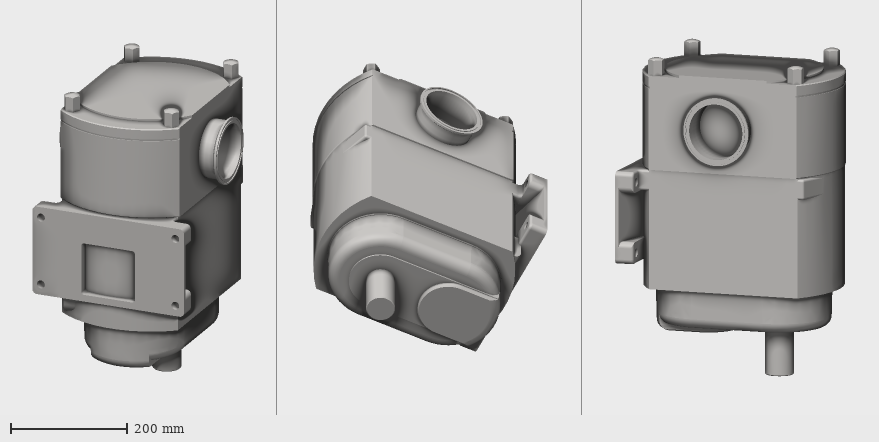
import cadquery as cq
import math


PAD_Z = 73.5
STEP_Z = 82.5
COVER_Z = 85.5
RIM_Z = 151.0
HOUSING_Z = 154.5
HEAD_Z = 363.5
GASKET_Z = 505.5
LID_Z = 527.5
LID_TOP_Z = 532.0
NUT_TOP_Z = 557.5

HEAD_RADIUS = 175.0
HEAD_WIDTH = 223.0
HEAD_CHAMFER = 1.5
GASKET_HEIGHT = 3.5
LID_RAISED_RADIUS = 137.0

NUT_X = 93.0
NUT_Y = 127.0
NUT_FLATS = 25.0
NUT_DOME = 4.5

PORT_Z = 443.0
PORT_SPAN = 294.0
PORT_END_X = PORT_SPAN / 2
TUBE_DIAMETER = 103.5
BORE_DIAMETER = 97.0
FLANGE_DIAMETER = 118.0
FLANGE_THICKNESS = 4.0
FLANGE_CONE = 5.0
GROOVE_INNER_DIAMETER = 106.0
GROOVE_OUTER_DIAMETER = 112.5
GROOVE_DEPTH = 1.5
BORE_DEPTH = 56.0

HOUSING_RADIUS = 173.5
HOUSING_WIDTH = 217.5
EAR_HALF_WIDTH = HOUSING_WIDTH / 2
EAR_CORNER_Y = 146.0
EAR_Z = 326.0
EAR_FILLET = 4.5
EDGE_REACH = 4.5

PLATE_WIDTH = 285.0
PLATE_FRONT_Y = -185.0
PLATE_BACK_Y = -152.0
PLATE_TOP_Z = 362.5
PLATE_BOTTOM_Z = 201.0
PLATE_CORNER = 8.5
INSIDE_FILLET = 6.5
PLATE_HOLE_DIAMETER = 14.5
PLATE_HOLE_SPACING_X = 252.5
PLATE_HOLE_LOW_Z = 220.0
PLATE_HOLE_HIGH_Z = 343.5
WINDOW_WIDTH = 100.5
WINDOW_LOW_Z = 213.5
WINDOW_HIGH_Z = 308.0
WINDOW_CORNER = 5.0

RECESS_LOW_Z = 239.5
RECESS_HIGH_Z = 325.5
RECESS_EDGE_THICKNESS = 6.5
RECESS_INNER_X = 70.0
RECESS_EDGE_FILLET = 10.0

SIDE_BOSS_LEFT = -96.5
SIDE_BOSS_RIGHT = -72.0
SIDE_BOSS_FRONT_Y = -156.5
SIDE_BOSS_LOW_Z = 163.0
SIDE_BOSS_HIGH_Z = 221.0
SIDE_BOSS_ROUND = 15.5

COVER_CENTRE_Y = 64.5
COVER_RADIUS = 91.0
COVER_DRAFT = 1.5
COVER_FILLET = 18.0
RIM_OVERHANG = 1.0
PAD_RADIUS = 53.0
PAD_ROUND = 17.0
PAD_CHAMFER = 2.0
STEP_RADIUS = 54.5
SHAFT_DIAMETER = 50.0
SHAFT_CHAMFER = 1.5


def box(x_min, x_max, y_min, y_max, z_min, z_max):
    size = (x_max - x_min, y_max - y_min, z_max - z_min)
    return cq.Workplane("XY").box(*size, centered=False).translate((x_min, y_min, z_min))


def disc(radius, z_min, z_max, centre_y=0):
    return cq.Workplane("XY", origin=(0, centre_y, z_min)).circle(radius).extrude(z_max - z_min)


def trim_sides(drum, width):
    """Cut a drum down to two flat sides facing -X and +X."""
    reach = 2 * HEAD_RADIUS
    return drum.intersect(box(-width / 2, width / 2, -reach, reach, 0, NUT_TOP_Z))


def make_head():
    head = disc(HEAD_RADIUS, HEAD_Z, GASKET_Z).faces("<Z").chamfer(HEAD_CHAMFER)
    gasket = disc(HEAD_RADIUS - HEAD_CHAMFER, GASKET_Z, GASKET_Z + GASKET_HEIGHT)
    lid = disc(HEAD_RADIUS, GASKET_Z + GASKET_HEIGHT, LID_Z).faces(">Z").chamfer(HEAD_CHAMFER)
    raised = disc(LID_RAISED_RADIUS, LID_Z, LID_TOP_Z)
    return trim_sides(head.union(gasket).union(lid).union(raised), HEAD_WIDTH)


def make_nut(x, y):
    """Hexagonal nut with two corners along X and a shallow domed end."""
    corner_radius = NUT_FLATS / math.sqrt(3)
    hexagon = (
        cq.Workplane("XY", origin=(x, y, LID_Z))
        .polygon(6, 2 * corner_radius)
        .extrude(NUT_TOP_Z - LID_Z)
    )
    dome_radius = (corner_radius**2 + NUT_DOME**2) / (2 * NUT_DOME)
    dome = cq.Workplane("XY").sphere(dome_radius).translate((x, y, NUT_TOP_Z - dome_radius))
    return hexagon.intersect(dome)


def make_port(side):
    """Clamp-flanged tube on one flat side of the head; side is -1 or +1."""
    flange_back_x = PORT_END_X - FLANGE_THICKNESS
    tube_radius = TUBE_DIAMETER / 2
    profile = [
        (0, 0),
        (0, tube_radius),
        (side * (flange_back_x - FLANGE_CONE), tube_radius),
        (side * flange_back_x, FLANGE_DIAMETER / 2),
        (side * PORT_END_X, FLANGE_DIAMETER / 2),
        (side * PORT_END_X, 0),
    ]
    port = cq.Workplane("XZ").polyline(profile).close().revolve(360, (0, 0, 0), (1, 0, 0))
    return port.translate((0, 0, PORT_Z))


def make_bore(side):
    start_x = side * PORT_END_X
    bore = cq.Workplane("YZ", origin=(start_x, 0, PORT_Z)).circle(BORE_DIAMETER / 2)
    return bore.extrude(-side * BORE_DEPTH)


def make_seal_groove(side):
    """Shallow ring groove in the end face of a port flange."""
    groove = (
        cq.Workplane("YZ", origin=(side * PORT_END_X, 0, PORT_Z))
        .circle(GROOVE_OUTER_DIAMETER / 2)
        .circle(GROOVE_INNER_DIAMETER / 2)
    )
    return groove.extrude(-side * GROOVE_DEPTH)


def make_ears():
    """Widened top of the housing, its slanted corners tangent to the drum at the back."""
    corner_distance = math.hypot(EAR_HALF_WIDTH, EAR_CORNER_Y)
    corner_angle = math.atan2(EAR_CORNER_Y, EAR_HALF_WIDTH)
    tangent_angle = corner_angle + math.acos(HOUSING_RADIUS / corner_distance)
    tangent_x = HOUSING_RADIUS * math.cos(tangent_angle)
    tangent_y = HOUSING_RADIUS * math.sin(tangent_angle)
    outline = [
        (-EAR_HALF_WIDTH, PLATE_BACK_Y),
        (EAR_HALF_WIDTH, PLATE_BACK_Y),
        (EAR_HALF_WIDTH, EAR_CORNER_Y),
        (tangent_x, tangent_y),
        (-tangent_x, tangent_y),
        (-EAR_HALF_WIDTH, EAR_CORNER_Y),
    ]
    ears = cq.Workplane("XY", origin=(0, 0, EAR_Z)).polyline(outline).close()
    return ears.extrude(PLATE_TOP_Z - EAR_Z)


def make_recess(side):
    """Wedge behind one plate end, its floor and ceiling rounded outwards at the open edge."""
    edge_x = PLATE_WIDTH / 2
    drum_y = -math.sqrt(HOUSING_RADIUS**2 - RECESS_INNER_X**2)
    plan = [
        (side * RECESS_INNER_X, drum_y),
        (side * edge_x, PLATE_FRONT_Y + RECESS_EDGE_THICKNESS),
        (side * edge_x, PLATE_BACK_Y),
        (side * RECESS_INNER_X, PLATE_BACK_Y),
    ]
    wedge = cq.Workplane("XY", origin=(0, 0, PLATE_BOTTOM_Z)).polyline(plan).close()
    wedge = wedge.extrude(PLATE_TOP_Z - PLATE_BOTTOM_Z)

    start_x = edge_x - RECESS_EDGE_FILLET
    half_way_x = start_x + RECESS_EDGE_FILLET * math.sin(math.pi / 4)
    half_way_rise = RECESS_EDGE_FILLET * (1 - math.cos(math.pi / 4))
    mouth = (
        cq.Workplane("XZ", origin=(0, PLATE_BACK_Y, 0))
        .moveTo(side * RECESS_INNER_X, RECESS_LOW_Z)
        .lineTo(side * start_x, RECESS_LOW_Z)
        .threePointArc(
            (side * half_way_x, RECESS_LOW_Z - half_way_rise),
            (side * edge_x, RECESS_LOW_Z - RECESS_EDGE_FILLET),
        )
        .lineTo(side * edge_x, RECESS_HIGH_Z + RECESS_EDGE_FILLET)
        .threePointArc(
            (side * half_way_x, RECESS_HIGH_Z + half_way_rise),
            (side * start_x, RECESS_HIGH_Z),
        )
        .lineTo(side * RECESS_INNER_X, RECESS_HIGH_Z)
        .close()
        .extrude(PLATE_BACK_Y - PLATE_FRONT_Y)
    )
    return wedge.intersect(mouth)


def around(x, y, z, reach):
    """Selector for edges centred within a small cube about a point."""
    low = (x - reach, y - reach, z - reach)
    high = (x + reach, y + reach, z + reach)
    return cq.selectors.BoxSelector(low, high)


def make_plate():
    """Mounting plate joined to the ears, with its rear rim and the ears rounded over."""
    plate = box(-PLATE_WIDTH / 2, PLATE_WIDTH / 2, PLATE_FRONT_Y, PLATE_BACK_Y, PLATE_BOTTOM_Z, PLATE_TOP_Z)
    plate = plate.edges("|Y").fillet(PLATE_CORNER)
    plate = plate.union(make_ears())
    ear_middle_z = (EAR_Z + PLATE_TOP_Z) / 2
    for side in (-1, 1):
        inside_corner = around(side * EAR_HALF_WIDTH, PLATE_BACK_Y, ear_middle_z, EDGE_REACH)
        plate = plate.edges(inside_corner).fillet(INSIDE_FILLET)
        outer_corner = around(side * EAR_HALF_WIDTH, EAR_CORNER_Y, ear_middle_z, EDGE_REACH)
        plate = plate.edges(outer_corner).fillet(EAR_FILLET)
    rim = around(EAR_HALF_WIDTH, 0, PLATE_TOP_Z, EDGE_REACH)
    plate = plate.edges(rim).fillet(EAR_FILLET)
    for side in (-1, 1):
        underside = around(side * EAR_HALF_WIDTH, 0, EAR_Z, EDGE_REACH)
        plate = plate.edges(underside).fillet(EAR_FILLET)
    plate = plate.cut(make_recess(-1)).cut(make_recess(1))
    return plate.cut(make_plate_holes()).cut(make_window())


def make_plate_holes():
    middle_z = (PLATE_HOLE_LOW_Z + PLATE_HOLE_HIGH_Z) / 2
    return (
        cq.Workplane("XZ", origin=(0, PLATE_FRONT_Y, middle_z))
        .rarray(PLATE_HOLE_SPACING_X, PLATE_HOLE_HIGH_Z - PLATE_HOLE_LOW_Z, 2, 2)
        .circle(PLATE_HOLE_DIAMETER / 2)
        .extrude(PLATE_FRONT_Y - PLATE_BACK_Y)
    )


def make_window():
    window = box(-WINDOW_WIDTH / 2, WINDOW_WIDTH / 2, PLATE_FRONT_Y, 0, WINDOW_LOW_Z, WINDOW_HIGH_Z)
    return window.edges("|Y").fillet(WINDOW_CORNER)


def make_side_boss():
    boss = box(SIDE_BOSS_LEFT, SIDE_BOSS_RIGHT, SIDE_BOSS_FRONT_Y, 0, SIDE_BOSS_LOW_Z, SIDE_BOSS_HIGH_Z)
    return boss.edges("<Y and <Z").fillet(SIDE_BOSS_ROUND)


def make_housing():
    drum = trim_sides(disc(HOUSING_RADIUS, HOUSING_Z, HEAD_Z), HOUSING_WIDTH)
    return drum.union(make_plate()).union(make_side_boss())


def tapered_cover(end_z, fillet_radius):
    """Drafted obround body hanging below the rim."""
    cover = (
        cq.Workplane("XY", origin=(0, 0, RIM_Z))
        .slot2D(2 * (COVER_CENTRE_Y + COVER_RADIUS), 2 * COVER_RADIUS, 90)
        .extrude(end_z - RIM_Z, taper=COVER_DRAFT)
    )
    return cover.faces("<Z").edges().fillet(fillet_radius)


def run_out(radius, start_y, face_z):
    """Block with a round end about (0, start_y), running past the -Y end of the cover."""
    block = disc(radius, face_z, RIM_Z, start_y)
    return block.union(box(-radius, radius, -HEAD_RADIUS, start_y, face_z, RIM_Z))


def make_cover():
    rim_radius = COVER_RADIUS + RIM_OVERHANG
    rim = (
        cq.Workplane("XY", origin=(0, 0, RIM_Z))
        .slot2D(2 * (COVER_CENTRE_Y + rim_radius), 2 * rim_radius, 90)
        .extrude(HOUSING_Z - RIM_Z)
    )
    step = run_out(STEP_RADIUS, COVER_CENTRE_Y, STEP_Z)
    pad = run_out(PAD_RADIUS, -COVER_CENTRE_Y, PAD_Z).faces("<Z").chamfer(PAD_CHAMFER)
    raised = step.union(pad).intersect(tapered_cover(PAD_Z, PAD_ROUND))
    return rim.union(tapered_cover(COVER_Z, COVER_FILLET)).union(raised)


def make_shaft():
    shaft = disc(SHAFT_DIAMETER / 2, 0, COVER_Z, COVER_CENTRE_Y)
    return shaft.faces("<Z").chamfer(SHAFT_CHAMFER)


result = make_head().union(make_housing()).union(make_cover()).union(make_shaft())
for side in (-1, 1):
    result = result.union(make_port(side))
    for end in (-1, 1):
        result = result.union(make_nut(side * NUT_X, end * NUT_Y))
for side in (-1, 1):
    result = result.cut(make_bore(side)).cut(make_seal_groove(side))